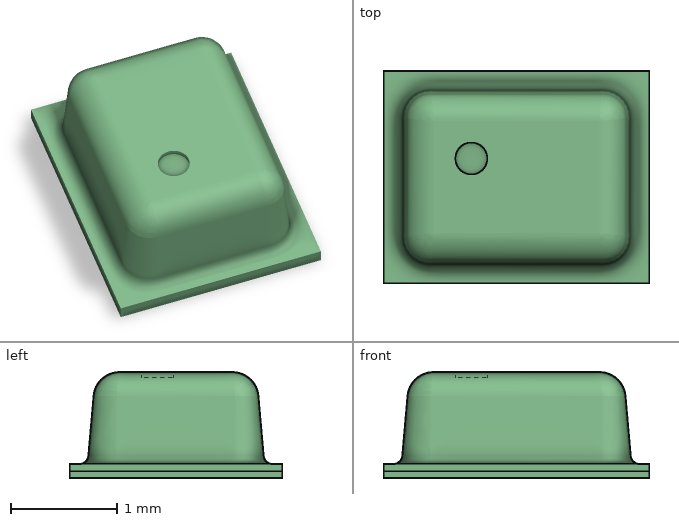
import cadquery as cq

length = 2.5
width = 2.0
height = 1.0
board_thickness = 0.068
flange_thickness = 0.068
dome_inset = 0.168
corner_radius = 0.275
draft_angle = 5.0
crown_radius = 0.25
foot_radius = 0.08
recess_diameter = 0.3
recess_depth = 0.05
recess_x = -0.425
recess_y = 0.175

flange_top = board_thickness + flange_thickness
dome_height = height - flange_top


def make_board():
    """Flat rectangular board under the lid, resting on Z = 0."""
    return cq.Workplane("XY").box(length, width, board_thickness, centered=(True, True, False))


def make_dome():
    """Drafted block with conical corners and a rounded crown."""
    outline = cq.Sketch().rect(length - 2 * dome_inset, width - 2 * dome_inset)
    outline = outline.vertices().fillet(corner_radius)
    dome = (
        cq.Workplane("XY", origin=(0, 0, flange_top))
        .placeSketch(outline)
        .extrude(dome_height, taper=draft_angle)
    )
    return dome.faces(">Z").edges().fillet(crown_radius)


def make_lid():
    """Flange and dome in one piece, with a blended foot and a round recess in the top."""
    flange = cq.Workplane("XY", origin=(0, 0, board_thickness)).box(
        length, width, flange_thickness, centered=(True, True, False)
    )
    lid = flange.union(make_dome())
    reach_x = (length - dome_inset) / 2
    reach_y = (width - dome_inset) / 2
    foot_edges = cq.selectors.BoxSelector(
        (-reach_x, -reach_y, flange_top - flange_thickness / 2),
        (reach_x, reach_y, flange_top + flange_thickness / 2),
    )
    lid = lid.edges(foot_edges).fillet(foot_radius)
    recess = (
        cq.Workplane("XY", origin=(recess_x, recess_y, height - recess_depth))
        .circle(recess_diameter / 2)
        .extrude(recess_depth)
    )
    return lid.cut(recess)


board = make_board()
lid = make_lid()
result = cq.Compound.makeCompound([board.val(), lid.val()])